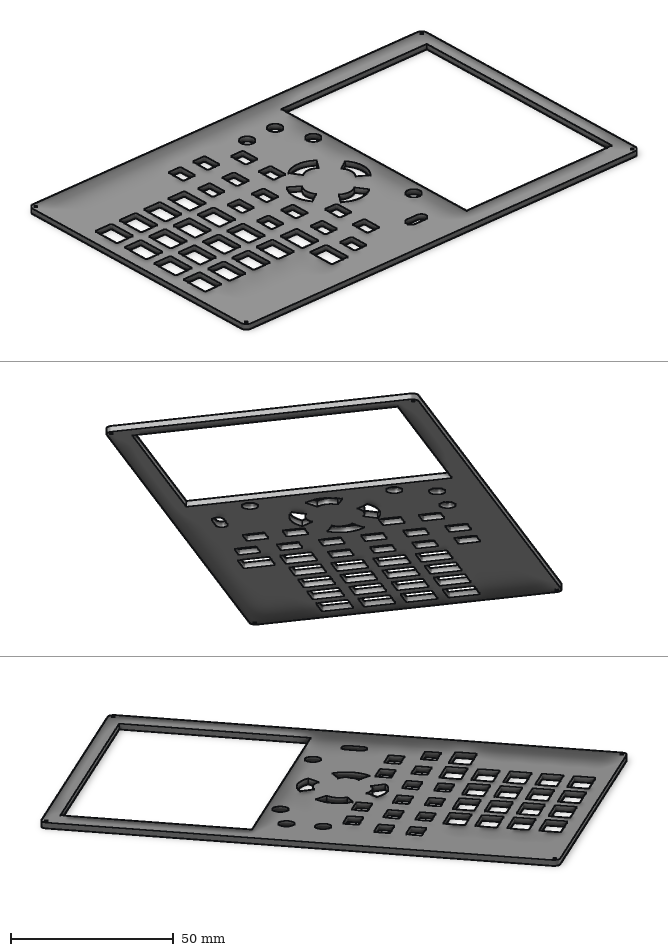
import cadquery as cq

WIDTH = 99.7
LENGTH = 163.2
THICKNESS = 2.0
CORNER_RADIUS = 2.1

PIN_HOLE_DIAMETER = 1.0
PIN_HOLE_INSET = 1.6

WINDOW_WIDTH = 84.9
WINDOW_LENGTH = 60.2
WINDOW_CENTER = (0, 46.7)

ROUND_DIAMETER = 5.0
ROUND_CENTERS = [(-35.1, 7.3), (-35.1, -4.2), (-22.7, 11.9), (23.5, 11.8)]

SLOT_WIDTH = 3.8
SLOT_LENGTH = 8.0
SLOT_CENTER = (36.0, 1.5)

PAD_SEGMENT_COUNT = 4
PAD_CENTER = (0.5, -2.6)
PAD_OUTER_MIDDLE = (0, 14.2)
PAD_OUTER_CORNER = (5.9, 12.0)
PAD_INNER_MIDDLE = (0, 9.3)
PAD_INNER_CORNER = (3.3, 8.2)

KEY_WIDTH = 7.0
KEY_HEIGHT = 5.0
WIDE_KEY_WIDTH = 10.1
WIDE_KEY_HEIGHT = 6.9
KEY_RADIUS = 0.5

COLUMN_COUNT = 6
ROW_COUNT = 6
SMALL_KEYS_IN_SECOND_ROW = 4
BLOCK_COLUMNS = range(1, 5)
BLOCK_ROWS = range(2, ROW_COUNT)
FIRST_COLUMN_X = -33.1
LAST_COLUMN_X = 34.3
FIRST_ROW_Y = -23.0
LAST_ROW_Y = -73.3
COLUMN_PITCH = (LAST_COLUMN_X - FIRST_COLUMN_X) / (COLUMN_COUNT - 1)
ROW_PITCH = (LAST_ROW_Y - FIRST_ROW_Y) / (ROW_COUNT - 1)

LEFT_PAIR_CENTERS = [(-27.7, -12.0), (-15.0, -12.0)]
RIGHT_PAIR_CENTERS = [(16.0, -12.7), (28.7, -12.7)]


def grid_points(row, columns):
    y = FIRST_ROW_Y + row * ROW_PITCH
    return [(FIRST_COLUMN_X + column * COLUMN_PITCH, y) for column in columns]


def key_cutter(centers, width, height):
    keys = cq.Workplane("XY").pushPoints(centers).rect(width, height).extrude(THICKNESS)
    return keys.edges("|Z").fillet(KEY_RADIUS)


def mirrored(point):
    return (-point[0], point[1])


def pad_segment(angle):
    """Curved segment above the pad center, turned around it by angle degrees."""
    return (
        cq.Workplane("XY")
        .moveTo(*PAD_OUTER_CORNER)
        .threePointArc(PAD_OUTER_MIDDLE, mirrored(PAD_OUTER_CORNER))
        .lineTo(*mirrored(PAD_INNER_CORNER))
        .threePointArc(PAD_INNER_MIDDLE, PAD_INNER_CORNER)
        .close()
        .extrude(THICKNESS)
        .rotate((0, 0, 0), (0, 0, 1), angle)
        .translate((*PAD_CENTER, 0))
    )


plate = cq.Workplane("XY").rect(WIDTH, LENGTH).extrude(THICKNESS).edges("|Z").fillet(CORNER_RADIUS)

pin_holes = (
    cq.Workplane("XY")
    .rect(WIDTH - 2 * PIN_HOLE_INSET, LENGTH - 2 * PIN_HOLE_INSET, forConstruction=True)
    .vertices()
    .circle(PIN_HOLE_DIAMETER / 2)
    .extrude(THICKNESS)
)
window = cq.Workplane("XY").center(*WINDOW_CENTER).rect(WINDOW_WIDTH, WINDOW_LENGTH).extrude(THICKNESS)
round_holes = cq.Workplane("XY").pushPoints(ROUND_CENTERS).circle(ROUND_DIAMETER / 2).extrude(THICKNESS)
slot = cq.Workplane("XY").center(*SLOT_CENTER).slot2D(SLOT_LENGTH, SLOT_WIDTH, 90).extrude(THICKNESS)
result = plate.cut(pin_holes).cut(window).cut(round_holes).cut(slot)

for segment in range(PAD_SEGMENT_COUNT):
    result = result.cut(pad_segment(segment * 360 / PAD_SEGMENT_COUNT))

small_centers = LEFT_PAIR_CENTERS + RIGHT_PAIR_CENTERS
small_centers += grid_points(0, range(COLUMN_COUNT)) + grid_points(1, range(SMALL_KEYS_IN_SECOND_ROW))
result = result.cut(key_cutter(small_centers, KEY_WIDTH, KEY_HEIGHT))

wide_centers = grid_points(1, range(SMALL_KEYS_IN_SECOND_ROW, COLUMN_COUNT))
for row in BLOCK_ROWS:
    wide_centers += grid_points(row, BLOCK_COLUMNS)
result = result.cut(key_cutter(wide_centers, WIDE_KEY_WIDTH, WIDE_KEY_HEIGHT))